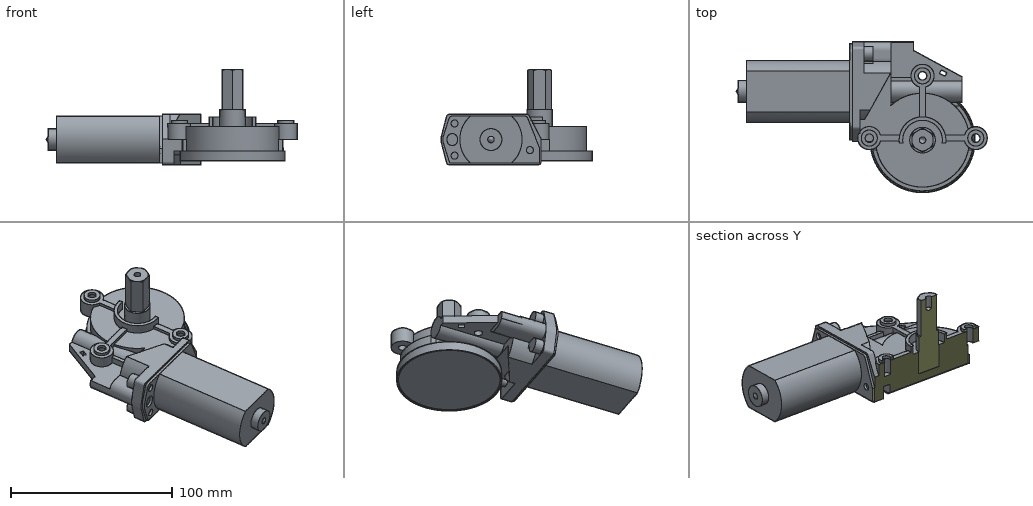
import cadquery as cq
import math


motor_y = 30.3
motor_dia = 38.7
motor_half_height = 14.5
motor_start_x = -109.3
motor_end_x = -45.2
nub_start_x = -114.5
nub_dia = 13.5
shaft_dia = 4.0
shaft_tip_length = 1.2
screw_hole_dia = 4.4
dowel_slot_y = 54.3
dowel_slot_width = 6.4
dowel_slot_height = 7.5

flange_start_x = -43.5
flange_thickness = 7.2
flange_half_height = 15.8
flange_tip_y = 61.1
flange_tip_half = 1.9
flange_fillet = 2.0
flange_high_y = 57.5
flange_low_y = -1.0
flange_slant_y = 7.0
flange_slant_z = 0.3
plate_half_height = 14.7
plate_fillet = 2.5
plate_tip_y = 59.9
plate_high_y = 55.8
plate_low_y = 0.0
plate_slant_y = 8.0
plate_slant_z = -5.5
motor_screws = [(52.9, 10.0), (52.9, -10.0), (6.1, -6.5)]

block_radius = 19.5
block_end_x = -19.7
block_low_x = -32.5
block_low_y = 18.9
block_high_y = 42.0
block_toe = (-36.0, 12.8)
notch_x = -38.8

screw_boss_y = 53.5
screw_boss_dia = 9.0
screw_boss_end_x = -30.7
low_screw_boss_dia = 6.0
boss_web_y = 47.3
boss_web_z = 8.9
worm_tube_radius = 6.9
dowel_radius = 5.8
dowel_y = flange_tip_y - dowel_radius
dowel_tube_depth = 4.7
worm_tube_end_x = 24.6

bracket_half_height = 2.7
bracket_high_y = 60.5
bracket_corner_x = -5.5
bracket_corner_y = 55.7
bracket_end_y = 39.3
bracket_slot_x = 12.8
bracket_slot_y = 41.6
bracket_slot_length = 3.7
bracket_slot_width = 2.3
bracket_slot_angle = -28

drum_radius = 29.2
drum_top_z = 8.1
seat_dia = 63.0
seat_top_z = 0.0
seat_low_y = -6.1
seat_high_y = 21.0
joint_z = -7.0
gear_rim_z = -8.7

mount_y = 1.2
mount_x = 33.0
mount_far_y = 40.0
mount_boss_radius = 7.2
mount_top_z = 10.0
washer_dia = 10.0
washer_hole_dia = 5.1
washer_top_z = 11.9
rib_width = 3.7
collar_rib_outer = 14.5
collar_rib_inner = 12.3
collar_rib_top_z = 14.0
collar_rib_low_y = -1.7
side_rib_low_y = 36.7
side_rib_high_y = 39.0
side_rib_top_z = 6.9

cover_dia = 65.4
cover_inner_dia = 64.5
cover_bottom_z = -13.3
cover_floor_z = -13.0

output_dia = 15.9
output_shoulder_z = 18.5
output_top_z = 43.5
hex_flats = 13.0
hex_chamfer = 0.8
center_hole_dia = 4.0
center_hole_depth = 7.8
drill_angle = 118

mounts = [(-mount_x, mount_y), (mount_x, mount_y), (0, mount_far_y)]


def rod_x(radius, start_x, end_x, y, z):
    """Cylinder along X."""
    return cq.Workplane("YZ", origin=(start_x, y, z)).circle(radius).extrude(end_x - start_x)


def rod_z(radius, start_z, end_z, x=0, y=0):
    """Cylinder along Z."""
    return cq.Workplane("XY", origin=(x, y, start_z)).circle(radius).extrude(end_z - start_z)


def box(low, high):
    """Box between two opposite corners."""
    size = [b - a for a, b in zip(low, high)]
    return cq.Workplane("XY").box(*size, centered=False).translate(low)


def prism_z(points, low_z, high_z):
    """Prism with a plan outline."""
    return cq.Workplane("XY", origin=(0, 0, low_z)).polyline(points).close().extrude(high_z - low_z)


def prism_x(points, start_x, end_x):
    """Prism along X with an outline in Y and Z."""
    return cq.Workplane("YZ", origin=(start_x, 0, 0)).polyline(points).close().extrude(end_x - start_x)


def make_motor():
    can = rod_x(motor_dia / 2, motor_start_x, motor_end_x, motor_y, 0)
    can = can.intersect(box(
        (motor_start_x, motor_y - motor_dia, -motor_half_height),
        (motor_end_x, motor_y + motor_dia, motor_half_height),
    ))
    outline = [
        (plate_high_y, plate_half_height), (plate_tip_y, flange_tip_half), (plate_tip_y, -flange_tip_half),
        (plate_high_y, -plate_half_height), (plate_low_y, -plate_half_height),
        (plate_low_y, plate_slant_z), (plate_slant_y, plate_half_height),
    ]
    plate = prism_x(outline, motor_end_x, flange_start_x)
    plate = plate.edges("|X").edges(">Z or (<Z and >Y)").fillet(plate_fillet)
    for y, z in motor_screws:
        plate = plate.cut(rod_x(screw_hole_dia / 2, motor_end_x, flange_start_x, y, z))
    dowel_slot = (
        cq.Workplane("YZ", origin=(motor_end_x, dowel_slot_y, 0))
        .slot2D(dowel_slot_height, dowel_slot_width, 90)
        .extrude(flange_start_x - motor_end_x)
    )
    nub = rod_x(nub_dia / 2, nub_start_x, motor_start_x, motor_y, 0)
    shaft_bore = rod_x(shaft_dia / 2, nub_start_x, flange_start_x, motor_y, 0)
    return can.union(plate.cut(dowel_slot)).union(nub).cut(shaft_bore)


def make_motor_shaft():
    tip_x = nub_start_x - shaft_tip_length
    outline = [(tip_x, 0), (nub_start_x, shaft_dia / 2), (flange_start_x, shaft_dia / 2), (flange_start_x, 0)]
    shaft = cq.Workplane("XY").polyline(outline).close().revolve(360, (0, 0, 0), (1, 0, 0))
    return shaft.translate((0, motor_y, 0))


def make_flange():
    outline = [
        (flange_high_y, flange_half_height),
        (flange_tip_y, flange_tip_half), (flange_tip_y, -flange_tip_half),
        (flange_high_y, -flange_half_height), (flange_low_y, -flange_half_height),
        (flange_low_y, flange_slant_z), (flange_slant_y, flange_half_height),
    ]
    end_x = flange_start_x + flange_thickness
    flange = prism_x(outline, flange_start_x, end_x).edges("|X").edges(">Z or <Z").fillet(flange_fillet)
    notch = box((notch_x, flange_low_y, seat_top_z), (end_x, block_low_y, flange_half_height))
    return flange.cut(notch)


def make_block():
    low_y = motor_y - block_radius
    high_y = motor_y + block_radius
    behind = [
        (flange_start_x, high_y), (block_end_x, high_y),
        (block_end_x, block_high_y), (block_low_x, block_low_y),
    ]
    upper = prism_z(behind + [block_toe, (flange_start_x, block_toe[1])], joint_z, flange_half_height)
    lower = prism_z(behind + [(block_low_x, low_y), (flange_start_x, low_y)], -flange_half_height, joint_z)
    return rod_x(block_radius, flange_start_x, block_end_x, motor_y, 0).intersect(upper.union(lower))


def make_screw_bosses():
    bosses = box((flange_start_x, boss_web_y, -boss_web_z), (screw_boss_end_x, screw_boss_y, boss_web_z))
    for y, z in motor_screws[:2]:
        bosses = bosses.union(rod_x(screw_boss_dia / 2, flange_start_x, screw_boss_end_x, screw_boss_y, z))
    low_y, low_z = motor_screws[2]
    return bosses.union(rod_x(low_screw_boss_dia / 2, flange_start_x, block_low_x, low_y, low_z))


def make_tubes():
    dowel_tube = (
        cq.Workplane("YZ", origin=(flange_start_x, dowel_y - dowel_tube_depth / 2, 0))
        .slot2D(2 * dowel_radius + dowel_tube_depth, 2 * dowel_radius)
        .extrude(bracket_corner_x - flange_start_x)
    )
    dowel_tube = dowel_tube.cut(box(
        (block_end_x, block_low_y, bracket_half_height),
        (bracket_corner_x, flange_tip_y, flange_half_height),
    ))
    return dowel_tube.union(rod_x(worm_tube_radius, block_end_x, worm_tube_end_x, motor_y, 0))


def make_bracket():
    outline = [
        (block_end_x, motor_y), (block_end_x, bracket_high_y), (bracket_corner_x, bracket_high_y),
        (bracket_corner_x, bracket_corner_y), (worm_tube_end_x, bracket_end_y), (worm_tube_end_x, motor_y),
    ]
    bracket = prism_z(outline, -bracket_half_height, bracket_half_height)
    slot = (
        cq.Workplane("XY")
        .rect(bracket_slot_length, bracket_slot_width)
        .extrude(bracket_half_height, both=True)
        .rotate((0, 0, 0), (0, 0, 1), bracket_slot_angle)
        .translate((bracket_slot_x, bracket_slot_y, 0))
    )
    return bracket.cut(slot)


def make_drum():
    drum = rod_z(drum_radius, cover_floor_z, drum_top_z)
    drum = drum.union(rod_z(seat_dia / 2, cover_floor_z, gear_rim_z))
    seat_radius = seat_dia / 2
    seat = rod_z(seat_radius, gear_rim_z, seat_top_z).intersect(
        box((-seat_radius, seat_low_y, gear_rim_z), (seat_radius, seat_high_y, seat_top_z))
    )
    shoulder = box((notch_x, mount_y, joint_z), (block_end_x, block_toe[1], drum_top_z))
    shelf = box((notch_x, flange_low_y, joint_z), (block_end_x, mount_y, seat_top_z))
    web = prism_z(
        [block_toe, (block_low_x, block_low_y), (block_end_x, block_high_y), (block_end_x, block_toe[1])],
        joint_z, drum_top_z,
    )
    return drum.union(seat).union(shoulder).union(shelf).union(web)


def make_ribs():
    half = rib_width / 2
    cross = box((-mount_x, mount_y - half, seat_top_z), (mount_x, mount_y + half, mount_top_z))
    spoke = box((-half, 0, seat_top_z), (half, mount_far_y, mount_top_z))
    inside = rod_z(collar_rib_inner, drum_top_z, collar_rib_top_z)
    ring = rod_z(collar_rib_outer, drum_top_z, collar_rib_top_z).intersect(box(
        (-collar_rib_outer, collar_rib_low_y, drum_top_z),
        (collar_rib_outer, collar_rib_outer, collar_rib_top_z),
    ))
    side = box((block_end_x, side_rib_low_y, seat_top_z), (0, side_rib_high_y, side_rib_top_z))
    return cross.union(spoke).union(ring).cut(inside).union(side)


def make_housing():
    housing = make_drum().union(make_flange()).union(make_block()).union(make_screw_bosses())
    housing = housing.union(make_tubes()).union(make_bracket()).union(make_ribs())
    for x, y in mounts:
        housing = housing.union(rod_z(mount_boss_radius, seat_top_z, mount_top_z, x, y))
    for x, y in mounts:
        housing = housing.cut(rod_z(washer_hole_dia / 2, seat_top_z, mount_top_z, x, y))
    housing = housing.cut(rod_z(washer_hole_dia / 2, -bracket_half_height, seat_top_z, 0, mount_far_y))
    cover_room = rod_z(cover_dia / 2, cover_bottom_z, joint_z)
    cover_room = cover_room.cut(rod_z(seat_dia / 2, cover_floor_z, joint_z))
    housing = housing.cut(cover_room)
    return housing.cut(rod_z(output_dia / 2, joint_z, drum_top_z))


def make_cover():
    disc = rod_z(cover_dia / 2, cover_bottom_z, joint_z)
    return disc.cut(rod_z(cover_inner_dia / 2, cover_floor_z, joint_z))


def make_output_shaft():
    hex_corner_dia = hex_flats / math.cos(math.pi / 6)
    hexagon = (
        cq.Workplane("XY", origin=(0, 0, output_shoulder_z))
        .polygon(6, hex_corner_dia)
        .extrude(output_top_z - output_shoulder_z)
        .rotate((0, 0, 0), (0, 0, 1), 30)
    )
    turned = rod_z(hex_corner_dia / 2, output_shoulder_z, output_top_z).faces(">Z").chamfer(hex_chamfer)
    shaft = rod_z(output_dia / 2, joint_z, output_shoulder_z).union(hexagon.intersect(turned))
    hole_radius = center_hole_dia / 2
    hole_outline = [
        (0, output_top_z), (hole_radius, output_top_z), (hole_radius, output_top_z - center_hole_depth),
        (0, output_top_z - center_hole_depth - hole_radius / math.tan(math.radians(drill_angle / 2))),
    ]
    center_hole = cq.Workplane("XZ").polyline(hole_outline).close().revolve(360, (0, 0, 0), (0, 1, 0))
    return shaft.cut(center_hole)


def make_washer(x, y):
    ring = rod_z(washer_dia / 2, mount_top_z, washer_top_z, x, y)
    return ring.cut(rod_z(washer_hole_dia / 2, mount_top_z, washer_top_z, x, y))


motor = make_motor()
motor_shaft = make_motor_shaft()
housing = make_housing()
cover = make_cover()
output_shaft = make_output_shaft()
washers = [make_washer(x, y).val() for x, y in mounts]

result = cq.Compound.makeCompound([
    motor.val(), motor_shaft.val(), housing.val(), cover.val(), output_shaft.val(), *washers,
])